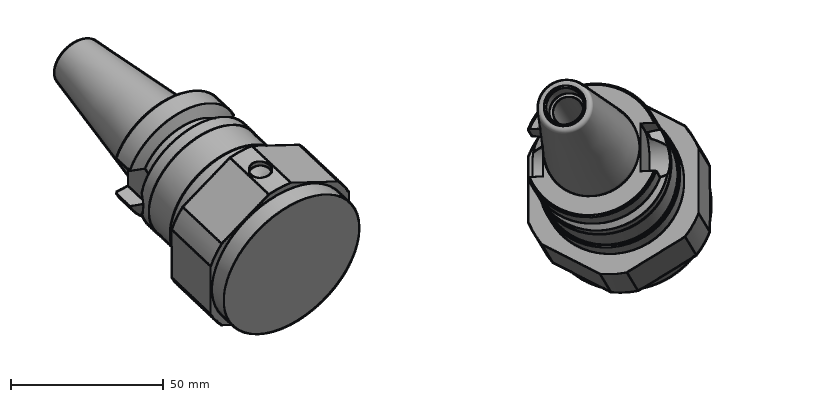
import cadquery as cq
import math

taper_end = 48.6
flange_start = 50.4
flange_end = 58.4
groove_start = 60.5
groove_end = 63.9
body_start = 66.2
body_step = 70.8
collar_start = 82.6
nut_start = 90.7
nut_end = 112.0
total_length = 118.4

tip_diameter = 18.3
taper_diameter = 31.8
flange_diameter = 45.9
groove_diameter = 37.3
body_diameter = 45.7
collar_diameter = 47.3
rim_diameter = 55.9

tip_fillet = 1.4
flange_chamfer = 0.6
collar_chamfer = 0.6

bore_steps = [(12.5, 6.5), (10.2, 35.5)]

bore_mouth_diameter = 14.0
bore_mouth_depth = 0.4

slot_width = 16.5
slot_tip = 67.8
slot_floor = 16.2

nut_across_flats = 56.9
nut_corner_diameter = 61.2

spanner_diameter = 7.6
spanner_wall_depth = 2.0
spanner_point_angle = 118.0


def x_cylinder(diameter, start, end):
    return cq.Workplane("YZ", origin=(start, 0, 0)).circle(diameter / 2).extrude(end - start)


def turned_body():
    """Taper, flange, gripper groove, body, collar and rear rim in one revolve."""
    profile = [
        (0, 0),
        (0, tip_diameter / 2),
        (taper_end, taper_diameter / 2),
        (flange_start, taper_diameter / 2),
        (flange_start, flange_diameter / 2 - flange_chamfer),
        (flange_start + flange_chamfer, flange_diameter / 2),
        (flange_end, flange_diameter / 2),
        (groove_start, groove_diameter / 2),
        (groove_end, groove_diameter / 2),
        (body_start, flange_diameter / 2),
        (body_step, flange_diameter / 2),
        (body_step, body_diameter / 2),
        (collar_start, body_diameter / 2),
        (collar_start, collar_diameter / 2 - collar_chamfer),
        (collar_start + collar_chamfer, collar_diameter / 2),
        (nut_start, collar_diameter / 2),
        (nut_start, rim_diameter / 2),
        (total_length, rim_diameter / 2),
        (total_length, 0),
    ]
    turned = cq.Workplane("XY").polyline(profile).close().revolve(360, (0, 0), (1, 0))
    return turned.faces("<X").edges().fillet(tip_fillet)


def nut():
    """Hexagon with flats facing +Y and -Y, corners trimmed by a cylinder."""
    corner_distance = nut_across_flats / math.cos(math.radians(30))
    hexagon = (
        cq.Workplane("YZ", origin=(nut_start, 0, 0))
        .transformed(rotate=(0, 0, 90))
        .polygon(6, corner_distance)
        .extrude(nut_end - nut_start)
    )
    return hexagon.intersect(x_cylinder(nut_corner_diameter, nut_start, nut_end))


def drive_slot(side):
    """Round-ended slot open toward the taper; side is +1 or -1 along Y."""
    radius = slot_width / 2
    arc_center = slot_tip - radius
    past_flange = flange_diameter / 2
    return (
        cq.Workplane("XZ", origin=(0, side * slot_floor, 0))
        .moveTo(flange_start, -radius)
        .lineTo(arc_center, -radius)
        .threePointArc((slot_tip, 0), (arc_center, radius))
        .lineTo(flange_start, radius)
        .close()
        .extrude(-side * past_flange)
    )


def spanner_hole():
    """Short drilled hole with a conical bottom, entering along -Z."""
    radius = spanner_diameter / 2
    top = nut_corner_diameter / 2
    shoulder = top - spanner_wall_depth
    apex = shoulder - radius / math.tan(math.radians(spanner_point_angle / 2))
    hole_x = (nut_start + nut_end) / 2
    return (
        cq.Workplane("XZ", origin=(hole_x, 0, 0))
        .polyline([(0, apex), (radius, shoulder), (radius, top), (0, top)])
        .close()
        .revolve(360, (0, 0), (0, 1))
    )


def bore_mouth():
    """Shallow conical countersink at the mouth of the bore."""
    mouth_radius = bore_mouth_diameter / 2
    bore_radius = bore_steps[0][0] / 2
    return (
        cq.Workplane("XY")
        .polyline([(0, 0), (0, mouth_radius), (bore_mouth_depth, bore_radius), (bore_mouth_depth, 0)])
        .close()
        .revolve(360, (0, 0), (1, 0))
    )


result = turned_body().union(nut())
for bore_diameter, bore_depth in bore_steps:
    result = result.cut(x_cylinder(bore_diameter, 0, bore_depth))
for slot_side in (1, -1):
    result = result.cut(drive_slot(slot_side))
result = result.cut(bore_mouth())
result = result.cut(spanner_hole())